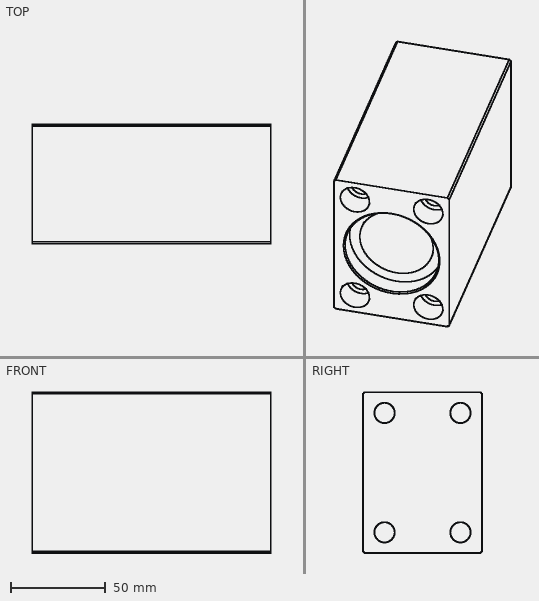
import cadquery as cq

length = 126.0
width = 63.0
height = 85.0
edge_chamfer = 1.0

bore_diameter = 40.1
bore_depth = 107.1
recess_diameter = 51.2
recess_depth = 10.0
rim_chamfer = 0.8

bolt_spacing_y = 40.1
bolt_spacing_z = 63.0
bolt_hole_diameter = 10.6
counterbore_diameter = 15.9
counterbore_depth = 12.6


def chamfered_block():
    block = cq.Workplane("XY").box(length, width, height)
    return block.edges("|X").chamfer(edge_chamfer)


def cylinder_from_face(diameter, depth, y, z):
    """Cylinder that starts on the -X face and runs towards +X."""
    face = cq.Workplane("YZ", origin=(-length / 2, y, z))
    return face.circle(diameter / 2).extrude(depth)


def stepped_bore():
    """Revolved half profile: chamfered rim, wide recess, then the bore to its flat floor."""
    bore_radius = bore_diameter / 2
    recess_radius = recess_diameter / 2
    profile = (
        cq.Workplane("XY", origin=(-length / 2, 0, 0))
        .lineTo(0, recess_radius + rim_chamfer)
        .lineTo(rim_chamfer, recess_radius)
        .lineTo(recess_depth, recess_radius)
        .lineTo(recess_depth, bore_radius)
        .lineTo(bore_depth, bore_radius)
        .lineTo(bore_depth, 0)
        .close()
    )
    return profile.revolve(360, (0, 0, 0), (1, 0, 0))


def bolt_hole(y, z):
    through_hole = cylinder_from_face(bolt_hole_diameter, length, y, z)
    counterbore = cylinder_from_face(counterbore_diameter, counterbore_depth, y, z)
    return through_hole.union(counterbore)


result = chamfered_block().cut(stepped_bore())
for side_y in (-1, 1):
    for side_z in (-1, 1):
        result = result.cut(bolt_hole(side_y * bolt_spacing_y / 2, side_z * bolt_spacing_z / 2))